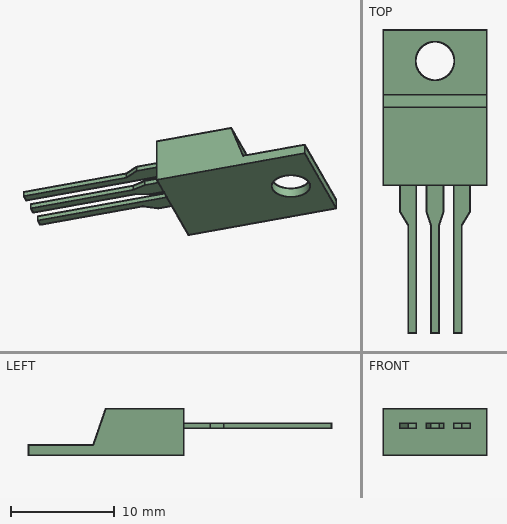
import cadquery as cq

package_width = 10.0
package_length = 15.0
package_height = 4.5

tab_length = 6.25
tab_thickness = 1.0
hole_diameter = 3.7
hole_from_tab_end = 3.0

body_length = package_length - tab_length
body_slope_run = 1.2

lead_length = 14.27
lead_width = 0.8
lead_thickness = 0.5
lead_bottom = 2.6
lead_pitch = 2.2

shoulder_length = 2.54
taper_length = 1.32
outer_shoulder_width = 0.8
middle_shoulder_width = 0.44

LEFT = -1
RIGHT = 1


def make_package():
    """Tab and moulded body: one side profile extruded across the width."""
    profile = [
        (0, 0),
        (package_length, 0),
        (package_length, tab_thickness),
        (body_length, tab_thickness),
        (body_length - body_slope_run, package_height),
        (0, package_height),
    ]
    return cq.Workplane("YZ").polyline(profile).close().extrude(package_width / 2, both=True)


def make_tab_hole():
    """Round hole through the tab for the mounting screw."""
    hole_y = package_length - hole_from_tab_end
    return cq.Workplane("XY").center(0, hole_y).circle(hole_diameter / 2).extrude(tab_thickness)


def extrude_lead_outline(outline):
    """Extrude a closed XY outline to the lead thickness at the lead height."""
    plane = cq.Workplane("XY", origin=(0, 0, lead_bottom))
    return plane.polyline(outline).close().extrude(lead_thickness)


def make_lead_strip(center_x):
    """Straight strip running the full lead length."""
    left = center_x - lead_width / 2
    right = center_x + lead_width / 2
    return extrude_lead_outline([(left, 0), (left, -lead_length), (right, -lead_length), (right, 0)])


def make_shoulder(center_x, side, width):
    """Shoulder on one side of a lead, tapering back to the edge of the strip."""
    inner_x = center_x + side * lead_width / 2
    outer_x = inner_x + side * width
    taper_end = -(shoulder_length + taper_length)
    return extrude_lead_outline([(inner_x, 0), (outer_x, 0), (outer_x, -shoulder_length), (inner_x, taper_end)])


shoulders = [
    (0, LEFT, middle_shoulder_width),
    (0, RIGHT, middle_shoulder_width),
    (-lead_pitch, LEFT, outer_shoulder_width),
    (lead_pitch, RIGHT, outer_shoulder_width),
]

result = make_package().cut(make_tab_hole())
for lead_x in (-lead_pitch, 0, lead_pitch):
    result = result.union(make_lead_strip(lead_x))
for lead_x, shoulder_side, shoulder_width in shoulders:
    result = result.union(make_shoulder(lead_x, shoulder_side, shoulder_width))
result = result.clean()